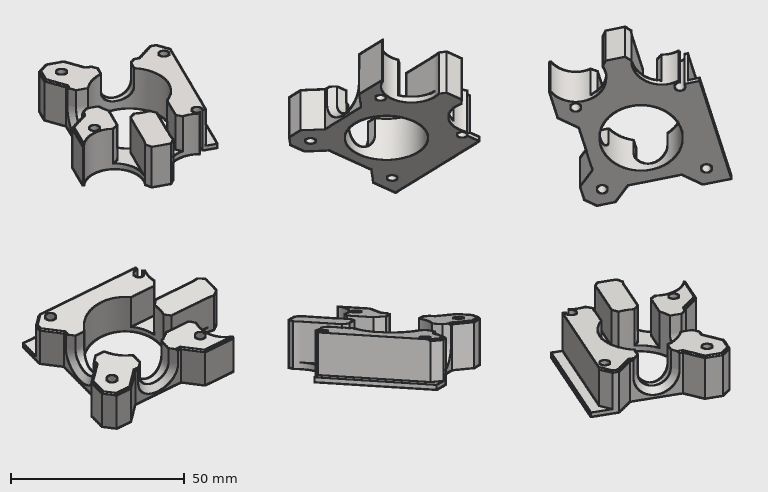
import cadquery as cq

height = 14.0
left_x = -21.0
front_y = -21.5
back_y = 18.0
back_right_x = 16.1
front_right_x = 23.0
left_wall_x = -16.0
front_wall_y = -16.5
leg_inner = 13.0
leg_notch = 8.0
corner_cut = 3.0
top_bevel = 0.5

ledge_back_y = 21.5
ledge_thickness = 1.5

bore_diameter = 24.0
screw_diameter = 3.1
screw_offset = 15.5

relief_radius = 8.8
relief_x = 26.0
relief_corner = (18.5, 15.1)
relief_lip_y = 16.45

tab_tip_x = 30.0
tab_half_width = 4.0
tab_root_x = 11.4
tab_root_chamfer = 2.0
tab_tip_half_width = 2.9
tip_chamfer_length = 3.0
tip_chamfer_width = 2.2
pocket_floor = 2.0
pocket_half_width = 8.8
pocket_corner_x = 16.1
pocket_corner_length = 2.4
pocket_corner_width = 3.0

slot_radius = 5.0
slot_flare = 2.0
slot_center_z = 8.0

relief_y = tab_half_width + relief_radius


def make_block():
    tip_shoulder_x = tab_tip_x - tip_chamfer_length
    tip_shoulder_y = tab_tip_half_width + tip_chamfer_width
    outline = [
        (left_x + corner_cut, back_y),
        (left_x, back_y - corner_cut),
        (left_x, leg_inner),
        (left_wall_x, leg_notch),
        (left_wall_x, -leg_notch),
        (left_x, -leg_inner),
        (left_x, front_y + corner_cut),
        (left_x + corner_cut, front_y),
        (-leg_inner, front_y),
        (-leg_notch, front_wall_y),
        (leg_notch, front_wall_y),
        (leg_inner, front_y),
        (front_right_x, front_y),
        (front_right_x, -tip_shoulder_y),
        (tip_shoulder_x, -tip_shoulder_y),
        (tab_tip_x, -tab_tip_half_width),
        (tab_tip_x, tab_tip_half_width),
        (tip_shoulder_x, tip_shoulder_y),
        (front_right_x, tip_shoulder_y),
        relief_corner,
        (back_right_x, relief_lip_y),
        (back_right_x, back_y),
    ]
    block = cq.Workplane("XY").polyline(outline).close().extrude(height)

    rim_edges = [
        edge
        for edge in block.faces(">Z").edges().vals()
        if edge.Center().x <= left_wall_x or edge.Center().y <= front_wall_y
    ]
    return block.newObject(rim_edges).chamfer(top_bevel)


def make_ledge():
    length = back_right_x - left_x
    width = ledge_back_y - leg_inner
    ledge = cq.Workplane("XY").box(length, width, ledge_thickness, centered=False)
    return ledge.translate((left_x, leg_inner, 0))


def make_round_cuts():
    offsets = (-screw_offset, screw_offset)
    screw_points = [(x, y) for x in offsets for y in offsets]
    relief_points = [(relief_x, -relief_y), (relief_x, relief_y)]
    bore = cq.Workplane("XY").circle(bore_diameter / 2).extrude(height)
    screws = cq.Workplane("XY").pushPoints(screw_points).circle(screw_diameter / 2).extrude(height)
    reliefs = cq.Workplane("XY").pushPoints(relief_points).circle(relief_radius).extrude(height)
    return bore.union(screws).union(reliefs)


def make_tab_pocket():
    """Open pocket beside the tab on its +Y side, ending at the relief axis."""
    outline = [
        (0, 0),
        (tab_root_x, 0),
        (tab_root_x, tab_half_width - tab_root_chamfer),
        (tab_root_x + tab_root_chamfer, tab_half_width),
        (relief_x, tab_half_width),
        (relief_x, pocket_half_width + pocket_corner_width),
        (pocket_corner_x + pocket_corner_length, pocket_half_width + pocket_corner_width),
        (pocket_corner_x, pocket_half_width),
        (0, pocket_half_width),
    ]
    pocket = cq.Workplane("XY").workplane(offset=pocket_floor).polyline(outline).close()
    return pocket.extrude(height - pocket_floor)


def slot_profile(plane, radius):
    return (
        plane.moveTo(-radius, height)
        .lineTo(-radius, slot_center_z)
        .threePointArc((0, slot_center_z - radius), (radius, slot_center_z))
        .lineTo(radius, height)
        .close()
    )


def make_slot(wall_distance):
    """Slot running from the bore axis through a wall on the -Y side, flared at the wall."""
    wall_plane = cq.Workplane("XZ", origin=(0, -wall_distance, 0))
    passage = slot_profile(cq.Workplane("XZ"), slot_radius).extrude(wall_distance)
    mouth = slot_profile(wall_plane, slot_radius + slot_flare).workplane(offset=-slot_flare)
    flare = slot_profile(mouth, slot_radius).loft(ruled=True)
    return passage.union(flare)


front_slot = make_slot(-front_wall_y)
left_slot = make_slot(-left_wall_x).rotate((0, 0, 0), (0, 0, 1), -90)
back_pocket = make_tab_pocket()
front_pocket = back_pocket.mirror("XZ")

result = make_block().union(make_ledge())
for cutter in (make_round_cuts(), front_slot, left_slot, back_pocket, front_pocket):
    result = result.cut(cutter)